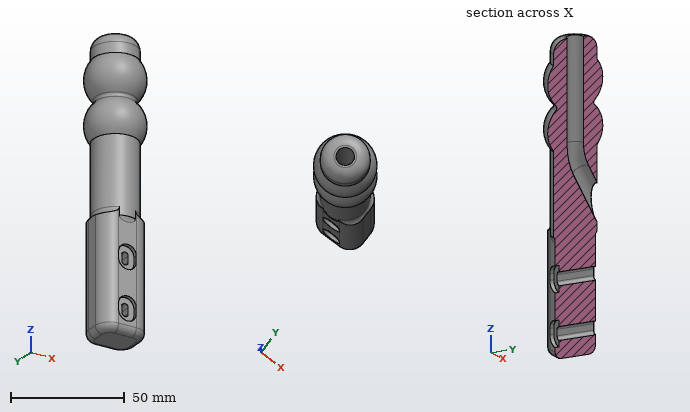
import math

import cadquery as cq

total_height = 146.0
shaft_radius = 11.0

grip_width = 24.0
grip_depth = 20.4
grip_height = 56.0
grip_corner_radius = 7.4
grip_bottom_fillet = 3.5
shoulder_fillet = 4.0

underside_stations = (-0.97, -0.8, -0.4, 0.0, 0.4, 0.8, 0.97)

ball_radius = 14.0
ball_centers = (104.0, 126.0)
neck_fillet = 1.5
top_fillet = 6.0

slot_centers = (11.7, 36.7)
slot_travel = 3.0
screw_slot_width = 3.2
head_slot_width = 9.1
head_slot_depth = 2.0

bore_diameter = 8.0
bend_angle = math.radians(27.0)
bend_radius = 28.0
exit_height = 69.0
exit_overrun = 10.0


def make_grip():
    """Rounded rectangular block with a softened foot."""
    grip = cq.Workplane("XY").box(grip_width, grip_depth, grip_height, centered=(True, True, False))
    grip = grip.edges("|Z").fillet(grip_corner_radius)
    return grip.faces("<Z").edges().fillet(grip_bottom_fillet)


def shaft_length(bottom_z, top_z):
    """Cylinder of the shaft radius between two heights."""
    return cq.Workplane("XY", origin=(0, 0, bottom_z)).circle(shaft_radius).extrude(top_z - bottom_z)


def make_shaft():
    """Shaft up to the lower ball, and a domed stub above the upper ball."""
    lower_z, upper_z = ball_centers
    stub = shaft_length(upper_z, total_height).faces(">Z").edges().fillet(top_fillet)
    return shaft_length(grip_height, lower_z).union(stub)


def make_balls():
    """Two overlapping spheres joined by a filleted neck."""
    lower_z, upper_z = ball_centers
    neck_z = (lower_z + upper_z) / 2
    half_spacing = (upper_z - lower_z) / 2
    reach = ball_radius + neck_fillet
    neck_center_radius = math.sqrt(reach**2 - half_spacing**2)
    tangent_radius = neck_center_radius * ball_radius / reach
    tangent_rise = half_spacing * ball_radius / reach
    profile = (
        cq.Workplane("XZ")
        .moveTo(0, lower_z - ball_radius)
        .threePointArc((ball_radius, lower_z), (tangent_radius, lower_z + tangent_rise))
        .threePointArc(
            (neck_center_radius - neck_fillet, neck_z),
            (tangent_radius, upper_z - tangent_rise),
        )
        .threePointArc((ball_radius, upper_z), (0, upper_z + ball_radius))
        .close()
    )
    balls = profile.revolve(360, (0, 0), (0, 1))
    top_z = total_height - top_fillet
    clip = cq.Workplane("XY").circle(2 * ball_radius).extrude(top_z)
    return balls.intersect(clip)


def make_shoulder():
    """Concave flare from the shaft down to the grip, trimmed to the grip outline."""
    outer = shaft_radius + shoulder_fillet
    lean = shoulder_fillet * math.sqrt(0.5)
    top_z = grip_height + shoulder_fillet
    flare = (
        cq.Workplane("XZ")
        .moveTo(0, grip_height)
        .lineTo(outer, grip_height)
        .threePointArc((outer - lean, top_z - lean), (shaft_radius, top_z))
        .lineTo(0, top_z)
        .close()
        .revolve(360, (0, 0), (0, 1))
    )
    outline = cq.Workplane("XY").box(grip_width, grip_depth, top_z, centered=(True, True, False))
    return flare.intersect(outline.edges("|Z").fillet(grip_corner_radius))


def underside_section(x):
    """YZ outline, at one X, of the blend between the -Y flat and the overhanging shaft edge."""
    flat_y = -grip_depth / 2
    overhang = math.sqrt(shaft_radius**2 - x**2) + flat_y
    drop = math.sqrt(shoulder_fillet**2 - (shoulder_fillet - overhang) ** 2)
    half_angle = math.asin(drop / shoulder_fillet) / 2
    root = cq.Vector(x, flat_y, grip_height - drop)
    middle = cq.Vector(
        x,
        flat_y - shoulder_fillet * (1 - math.cos(half_angle)),
        grip_height - drop + shoulder_fillet * math.sin(half_angle),
    )
    lip = cq.Vector(x, flat_y - overhang, grip_height)
    corner = cq.Vector(x, flat_y, grip_height)
    edges = [
        cq.Edge.makeThreePointArc(root, middle, lip),
        cq.Edge.makeLine(lip, corner),
        cq.Edge.makeLine(corner, root),
    ]
    return cq.Wire.assembleEdges(edges)


def make_underside():
    """Concave blend under the part of the shaft that overhangs the -Y flat, which the +Y flat mirrors."""
    half_chord = math.sqrt(shaft_radius**2 - (grip_depth / 2) ** 2)
    sections = [underside_section(share * half_chord) for share in underside_stations]
    return cq.Workplane(cq.Solid.makeLoft(sections))


def slot_cut(center_z, width, start_y, depth):
    """Upright slot cut running from start_y toward +Y."""
    return (
        cq.Workplane("XZ", origin=(0, start_y, center_z))
        .slot2D(slot_travel + width, width, 90)
        .extrude(-depth)
    )


def make_bore():
    """Vertical bore, tangent bend and inclined exit on the +Y side."""
    bend_y = bend_radius * (1 - math.cos(bend_angle))
    bend_drop = bend_radius * math.sin(bend_angle)
    bend_end_z = exit_height + (shaft_radius - bend_y) / math.tan(bend_angle)
    bend_start_z = bend_end_z + bend_drop
    half_angle = bend_angle / 2
    bend_middle = (
        bend_radius * (1 - math.cos(half_angle)),
        bend_start_z - bend_radius * math.sin(half_angle),
    )
    exit_end = (
        shaft_radius + exit_overrun * math.sin(bend_angle),
        exit_height - exit_overrun * math.cos(bend_angle),
    )
    path = (
        cq.Workplane("YZ")
        .moveTo(0, total_height)
        .lineTo(0, bend_start_z)
        .threePointArc(bend_middle, (bend_y, bend_end_z))
        .lineTo(*exit_end)
    )
    mouth = cq.Workplane("XY", origin=(0, 0, total_height)).circle(bore_diameter / 2)
    return mouth.sweep(path)


result = make_grip().union(make_shaft()).union(make_balls()).union(make_shoulder())
underside = make_underside()
result = result.union(underside).union(underside.mirror("XZ"))
result = result.cut(make_bore())
for slot_z in slot_centers:
    result = result.cut(slot_cut(slot_z, screw_slot_width, -grip_depth / 2, grip_depth))
    result = result.cut(slot_cut(slot_z, head_slot_width, -grip_depth / 2, head_slot_depth))